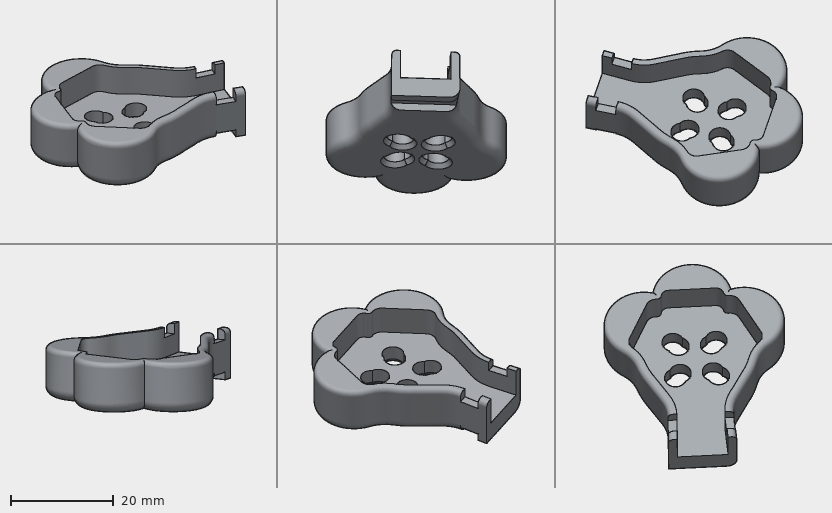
import cadquery as cq

height = 10.0
floor_thickness = 4.0
wall = 1.72
top_round = 1.0
bottom_round = 2.0

turn_angle = -45

lobe_radius = 7.8
front_lobe = (0, -10.97)
side_lobe = (9.8, -4.98)

neck_half_width = 6.65
neck_end_y = 22.95
waist = (6.35, 15.1)
shoulder = (11.05, 6.97)
flank_end = (13.48, 0)

hip = (12.7, 2.27)
waist_radius = 7.05
shoulder_radius = 13.32
hip_radius = 6.65

front_ledge_offset = 1.45
side_ledge_offset = 1.2
side_ledge_angle = 26
front_corner_radius = 1.5
side_corner_radius = 2.0
rib_tip_radius = 0.9

rib_tip = (5.9, -9.68)
front_corner = (5.88, -12.42)
side_corner_low = (8.23, -10.8)
side_corner_high = (13.48, -0.1)

notch_start = 16.95
notch_length = 4.0
top_notch_depth = 2.05
bottom_notch_depth = 1.53

bore_radius = 2.1
bore_spacing = 1.4
hole_distance = 5.25
hole_count = 4
first_hole_angle = 45
recess_margin = 0.65
recess_depth = 0.98

oversize = 58.77
end_tolerance = 0.05


def mirrored(point):
    return (-point[0], point[1])


def both_sides(point):
    return [point, mirrored(point)]


def round_corner(body, point, radius):
    """Round the vertical edge nearest to a point, and its mirror image."""
    for x, y in both_sides(point):
        nearest = cq.selectors.NearestToPointSelector((x, y, height / 2))
        body = body.edges("|Z").edges(nearest).fillet(radius)
    return body


def paw(neck_extension=0):
    """Plain block with the outer outline; the neck can be extended along its taper."""
    taper = (neck_half_width - waist[0]) / (neck_end_y - waist[1])
    neck_end = (neck_half_width + taper * neck_extension, neck_end_y + neck_extension)
    half = [neck_end, waist, shoulder, flank_end, side_lobe]
    outline = half + [front_lobe] + [mirrored(point) for point in reversed(half)]
    body = cq.Workplane().polyline(outline).close().extrude(height)
    for centre in [front_lobe] + both_sides(side_lobe):
        body = body.union(cq.Workplane().center(*centre).circle(lobe_radius).extrude(height))
    body = round_corner(body, waist, waist_radius)
    body = round_corner(body, shoulder, shoulder_radius)
    return round_corner(body, hip, hip_radius)


def round_rim(body, face, radius):
    """Round the outline of the top or bottom face, except at the open neck end."""
    edges = body.faces(face).edges().vals()
    rim = [edge for edge in edges if edge.Center().y < neck_end_y - end_tolerance]
    return body.newObject(rim).fillet(radius)


def ledge(centre, angle, offset):
    """Block on the outer side of a lobe, with its straight face at an offset from the lobe centre."""
    block = cq.Workplane().box(oversize, oversize, 2 * height).translate((0, -oversize / 2 - offset, 0))
    return block.rotate((0, 0, 0), (0, 0, 1), angle).translate((*centre, 0))


def pocket():
    """Space above the floor, open at the top and at the neck end."""
    outline = paw(neck_extension=2 * wall).faces("<Z").wires().vals()
    space = cq.Workplane().add(outline).toPending().offset2D(-wall, "intersection").extrude(height)
    space = space.cut(ledge(front_lobe, 0, front_ledge_offset))
    ledge_turn = 90 - side_ledge_angle
    space = space.cut(ledge(side_lobe, ledge_turn, side_ledge_offset))
    space = space.cut(ledge(mirrored(side_lobe), -ledge_turn, side_ledge_offset))
    space = round_corner(space, rib_tip, rib_tip_radius)
    space = round_corner(space, front_corner, front_corner_radius)
    space = round_corner(space, side_corner_low, side_corner_radius)
    space = round_corner(space, side_corner_high, side_corner_radius)
    return space.translate((0, 0, floor_thickness))


def notch_block(bottom, depth):
    """Block that crosses both arms of the neck."""
    block = cq.Workplane().box(oversize, notch_length, depth, centered=(True, False, False))
    return block.translate((0, notch_start, bottom))


def square_neck_corner():
    """Lower corner of the neck on the +X side, which stays square past the notch start."""
    block = cq.Workplane().box(oversize, oversize, bottom_round, centered=False)
    return paw().intersect(block.translate((0, notch_start, 0)))


def screw_hole(angle):
    """Double bore lying along the radial direction at an angle."""
    hole = cq.Workplane()
    for x in (hole_distance - bore_spacing / 2, hole_distance + bore_spacing / 2):
        bore = cq.Workplane().center(x, 0).circle(bore_radius).extrude(height)
        foot = cq.Vector(x, 0, 0)
        recess = cq.Solid.makeCone(bore_radius + recess_margin, bore_radius, recess_depth, foot)
        hole = hole.add(bore.union(cq.Workplane(recess)))
    return hole.combine().rotate((0, 0, 0), (0, 0, 1), angle)


body = round_rim(paw(), ">Z", top_round)
body = round_rim(body, "<Z", bottom_round)
body = body.union(square_neck_corner())
body = body.cut(pocket())
body = body.cut(notch_block(height - top_notch_depth, top_notch_depth))
body = body.cut(notch_block(0, bottom_notch_depth))
for i in range(hole_count):
    body = body.cut(screw_hole(first_hole_angle + i * 360 / hole_count))

result = body.rotate((0, 0, 0), (0, 0, 1), turn_angle)